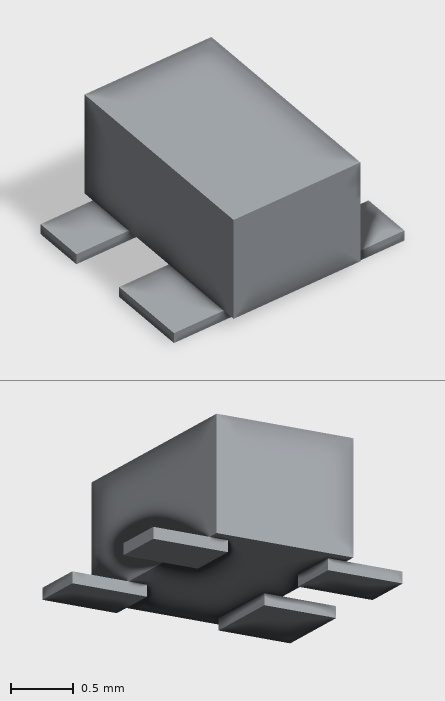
import cadquery as cq

overall_length = 2.28
overall_height = 1.1

body_width = 2.0
body_depth = 1.25

lead_thickness = 0.1
lead_inner_y = 0.458
lead_outer_y = overall_length / 2
narrow_lead_width = 0.48
narrow_lead_x = 0.648
wide_lead_width = 0.736
wide_lead_x = 0.5
wide_lead_outer_y = 1.115


def make_body():
    """Plain block resting on top of the leads."""
    body_height = overall_height - lead_thickness
    return (
        cq.Workplane("XY")
        .workplane(offset=lead_thickness)
        .rect(body_width, body_depth)
        .extrude(body_height)
    )


def make_lead(width, center_x, outer_y, side):
    """Flat lead on the +Y (side = 1) or -Y (side = -1) edge, with its underside at Z = 0."""
    length = outer_y - lead_inner_y
    center_y = side * (outer_y + lead_inner_y) / 2
    return (
        cq.Workplane("XY")
        .center(center_x, center_y)
        .rect(width, length)
        .extrude(lead_thickness)
    )


body = make_body()

narrow_lead_places = [
    (-narrow_lead_x, -1),
    (-narrow_lead_x, 1),
    (narrow_lead_x, 1),
]
narrow_leads = [
    make_lead(narrow_lead_width, center_x, lead_outer_y, side)
    for center_x, side in narrow_lead_places
]

wide_lead = make_lead(wide_lead_width, wide_lead_x, wide_lead_outer_y, -1)

result = cq.Compound.makeCompound(
    [body.val(), wide_lead.val(), *[lead.val() for lead in narrow_leads]]
)